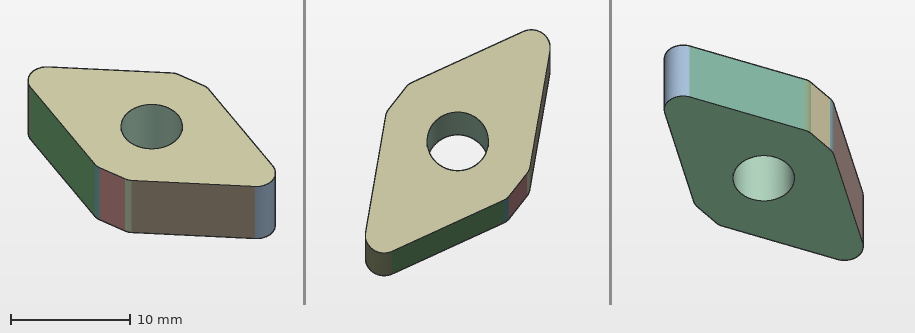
import cadquery as cq
import math

inscribed_diameter = 12.7
nose_angle = 55.0
nose_radius = 1.5875
flat_blend_radius = 1.27
thickness = 6.35
hole_diameter = 5.16

inscribed_radius = inscribed_diameter / 2
half_angle = math.radians(nose_angle / 2)

side_length = inscribed_diameter / math.sin(2 * half_angle)
sharp_nose_x = inscribed_radius / math.tan(half_angle)
blunt_corner_x = side_length - sharp_nose_x

blunt_corner_reach = inscribed_radius / math.cos(half_angle)
flat_setback = (blunt_corner_reach - inscribed_radius) / math.sin(half_angle)
flat_start_x = blunt_corner_x - flat_setback
flat_end_x = blunt_corner_x + flat_setback * math.cos(2 * half_angle)
flat_end_y = inscribed_radius - flat_setback * math.sin(2 * half_angle)


def sharp_body():
    """Prism of the rhombus with both blunt corners cut to flats."""
    half_outline = [
        (-sharp_nose_x, -inscribed_radius),
        (flat_start_x, -inscribed_radius),
        (flat_end_x, -flat_end_y),
    ]
    opposite_half = [(-x, -y) for x, y in half_outline]
    return cq.Workplane("XY").polyline(half_outline + opposite_half).close().extrude(thickness)


def round_edges_at(body, corner, radius):
    """Round the upright edge at a corner and the one diametrically opposite."""
    x, y = corner
    for sign in (1, -1):
        edge_point = (sign * x, sign * y, thickness / 2)
        body = body.edges(cq.selectors.NearestToPointSelector(edge_point)).fillet(radius)
    return body


body = sharp_body()
body = round_edges_at(body, (-sharp_nose_x, -inscribed_radius), nose_radius)
body = round_edges_at(body, (flat_start_x, -inscribed_radius), flat_blend_radius)
body = round_edges_at(body, (flat_end_x, -flat_end_y), flat_blend_radius)

result = body.faces(">Z").workplane(origin=(0, 0, thickness)).hole(hole_diameter)